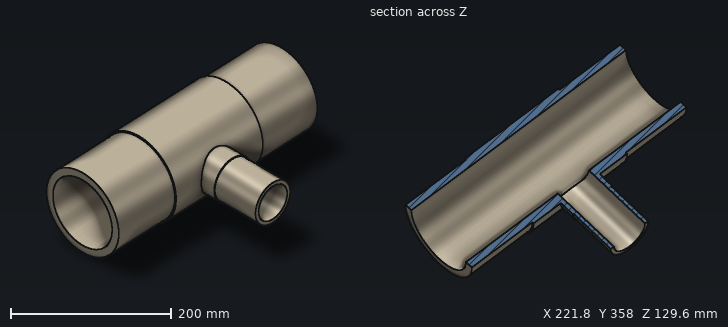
import cadquery as cq

run_length = 358.0
run_diameter = 125.0
run_bore = 102.2
run_spigot_length = 101.0
body_diameter = 129.56
body_length = run_length - 2 * run_spigot_length

branch_reach = 157.0
branch_diameter = 63.0
branch_bore = 51.4
branch_spigot_length = 70.0
collar_diameter = 65.32
collar_reach = branch_reach - branch_spigot_length


def run_cylinder(diameter, length):
    """Cylinder along Y, centred on the origin."""
    return cq.Workplane("XZ").circle(diameter / 2).extrude(length / 2, both=True)


def branch_cylinder(diameter, reach):
    """Cylinder along +X, from the run axis out to the given reach."""
    return cq.Workplane("YZ").circle(diameter / 2).extrude(reach)


outside = (
    run_cylinder(run_diameter, run_length)
    .union(run_cylinder(body_diameter, body_length))
    .union(branch_cylinder(collar_diameter, collar_reach))
    .union(branch_cylinder(branch_diameter, branch_reach))
)

result = (
    outside
    .cut(run_cylinder(run_bore, run_length))
    .cut(branch_cylinder(branch_bore, branch_reach))
)